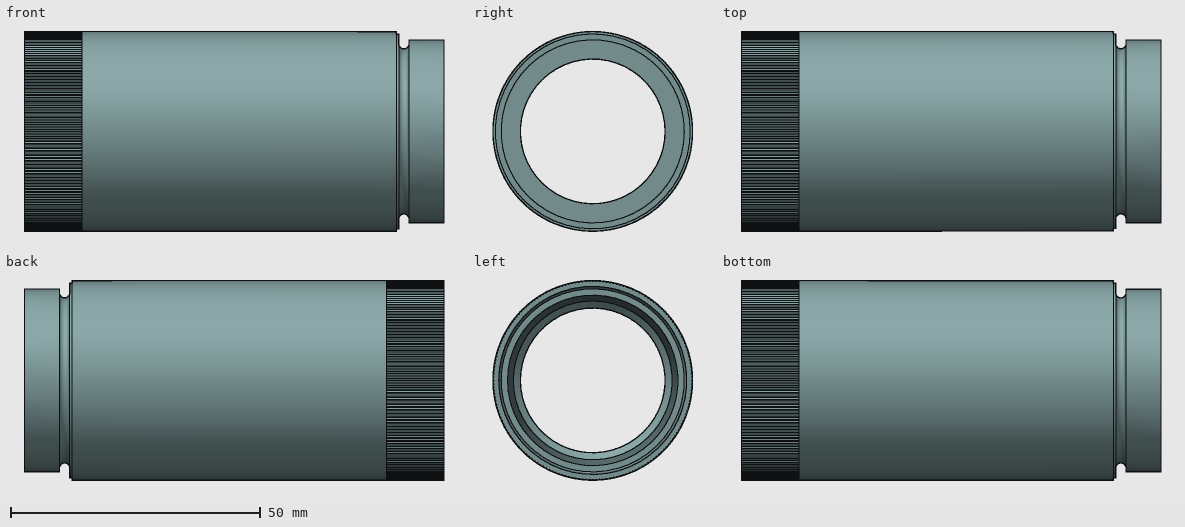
import cadquery as cq
import math

LENGTH = 84.0
BODY_RADIUS = 20.0

KNURL_LENGTH = 11.5
TOOTH_COUNT = 180
TOOTH_DEPTH = 0.2
SLEEVE_WALL = 0.8

BODY_END = 74.4
STEP_RADIUS = 19.5
GROOVE_START = 74.9
GROOVE_WIDTH = 2.0
GROOVE_FLOOR_RADIUS = 16.55
GROOVE_EDGE_RADIUS = 17.4
COLLAR_RADIUS = 18.3

MOUTH_RADIUS = 18.8
MOUTH_CHAMFER = 0.2
FRONT_BORE_RADIUS = 18.3
LEAD_IN_DEPTH = 0.7
FRONT_BORE_DEPTH = 9.4

TAPER_START_RADIUS = 17.05
TAPER_END_RADIUS = 15.9
TAPER_END = 71.4
REAR_BORE_RADIUS = 14.45


def tube():
    groove_end = GROOVE_START + GROOVE_WIDTH
    groove_middle = GROOVE_START + GROOVE_WIDTH / 2
    rear_bore_start = TAPER_END + TAPER_END_RADIUS - REAR_BORE_RADIUS
    profile = (
        cq.Workplane("XY")
        .moveTo(0, MOUTH_RADIUS)
        .lineTo(0, BODY_RADIUS)
        .lineTo(BODY_END, BODY_RADIUS)
        .lineTo(BODY_END, STEP_RADIUS)
        .lineTo(GROOVE_START, STEP_RADIUS)
        .lineTo(GROOVE_START, GROOVE_EDGE_RADIUS)
        .threePointArc((groove_middle, GROOVE_FLOOR_RADIUS), (groove_end, GROOVE_EDGE_RADIUS))
        .lineTo(groove_end, COLLAR_RADIUS)
        .lineTo(LENGTH, COLLAR_RADIUS)
        .lineTo(LENGTH, REAR_BORE_RADIUS)
        .lineTo(rear_bore_start, REAR_BORE_RADIUS)
        .lineTo(TAPER_END, TAPER_END_RADIUS)
        .lineTo(FRONT_BORE_DEPTH, TAPER_START_RADIUS)
        .lineTo(FRONT_BORE_DEPTH, FRONT_BORE_RADIUS)
        .lineTo(LEAD_IN_DEPTH, FRONT_BORE_RADIUS)
        .lineTo(MOUTH_CHAMFER, MOUTH_RADIUS - MOUTH_CHAMFER)
        .close()
    )
    return profile.revolve(360, (0, 0, 0), (1, 0, 0))


def knurl_cutter():
    """Sleeve around the mouth end whose toothed inside cuts the V grooves."""
    sleeve_radius = BODY_RADIUS + SLEEVE_WALL
    half_pitch = math.pi / TOOTH_COUNT
    outline = []
    for step in range(2 * TOOTH_COUNT):
        radius = BODY_RADIUS if step % 2 else BODY_RADIUS - TOOTH_DEPTH
        angle = step * half_pitch
        outline.append((radius * math.cos(angle), radius * math.sin(angle)))
    return (
        cq.Workplane("YZ")
        .circle(sleeve_radius)
        .polyline(outline)
        .close()
        .extrude(KNURL_LENGTH)
    )


result = tube().cut(knurl_cutter())